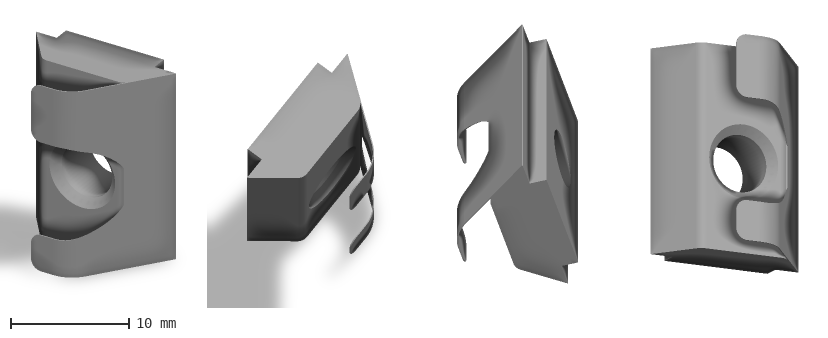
import math

import cadquery as cq

length = 18.0
wing_width = 13.8
front_width = 8.0
slope_depth = 3.8
neck_width = 9.7
neck_height = 1.5
corner_radius = 1.0

hole_z = 8.0
hole_diameter = 5.0
countersink_diameter = 6.5
countersink_angle = 90.0

sheet = 0.1
leg_overhang = 0.02
spring_reach = 7.8
bend_radius = 3.0
lip_end_x = -2.65
lip_corner_radius = 1.0
gap_height = 9.0

slope_run = (wing_width - front_width) / 2
slope_angle = math.atan2(slope_depth, slope_run)
slope_cos = math.cos(slope_angle)
slope_sin = math.sin(slope_angle)
front_y = -slope_depth
lip_y = -spring_reach


def make_body():
    half_wing = wing_width / 2
    half_neck = neck_width / 2
    half_front = front_width / 2
    outline = [
        (-half_wing, 0),
        (-half_front, front_y),
        (half_front, front_y),
        (half_wing, 0),
        (half_neck, 0),
        (half_neck, neck_height),
        (-half_neck, neck_height),
        (-half_neck, 0),
    ]
    body = cq.Workplane("XY").polyline(outline).close().extrude(length)
    return body.edges("|Z").edges("<Y").fillet(corner_radius)


def bend_point(radius, center, angle):
    """Point on the bend, with the angle measured from the flat lip toward the slope."""
    return (center[0] + radius * math.sin(angle), center[1] - radius * math.cos(angle))


def make_spring_strip():
    """Full-length strip: a sloping leg, a bend and a flat lip."""
    outer_radius = bend_radius + sheet
    leg_inner = (wing_width / 2 + leg_overhang * slope_cos, leg_overhang * slope_sin)
    leg_outer = (leg_inner[0] + sheet * slope_sin, leg_inner[1] - sheet * slope_cos)

    corner_x = leg_outer[0] + (lip_y - leg_outer[1]) * slope_cos / slope_sin
    center = (corner_x - outer_radius * math.tan(slope_angle / 2), lip_y + outer_radius)

    strip = (
        cq.Workplane("XY")
        .moveTo(*leg_inner)
        .lineTo(*leg_outer)
        .lineTo(*bend_point(outer_radius, center, slope_angle))
        .threePointArc(
            bend_point(outer_radius, center, slope_angle / 2),
            bend_point(outer_radius, center, 0),
        )
        .lineTo(lip_end_x, lip_y)
        .lineTo(lip_end_x, lip_y + sheet)
        .lineTo(*bend_point(bend_radius, center, 0))
        .threePointArc(
            bend_point(bend_radius, center, slope_angle / 2),
            bend_point(bend_radius, center, slope_angle),
        )
        .close()
        .extrude(length)
    )
    return strip


def make_spring_gap():
    """Round-ended cutter from beyond the lip up to the plane of the front face."""
    gap_radius = gap_height / 2
    bottom = hole_z - gap_radius
    top = hole_z + gap_radius
    open_end_x = lip_end_x - gap_radius
    cutter = (
        cq.Workplane("XZ", origin=(0, front_y, 0))
        .moveTo(open_end_x, bottom)
        .lineTo(0, bottom)
        .threePointArc((gap_radius, hole_z), (0, top))
        .lineTo(open_end_x, top)
        .close()
        .extrude(spring_reach)
    )
    return cutter


def make_spring():
    spring = make_spring_strip().cut(make_spring_gap())
    return spring.edges("|Y").edges("<X").fillet(lip_corner_radius)


def cut_hole(body):
    return (
        body.faces("<Y")
        .workplane(origin=(0, front_y, hole_z))
        .cskHole(hole_diameter, countersink_diameter, countersink_angle)
    )


result = cut_hole(make_body()).union(make_spring())